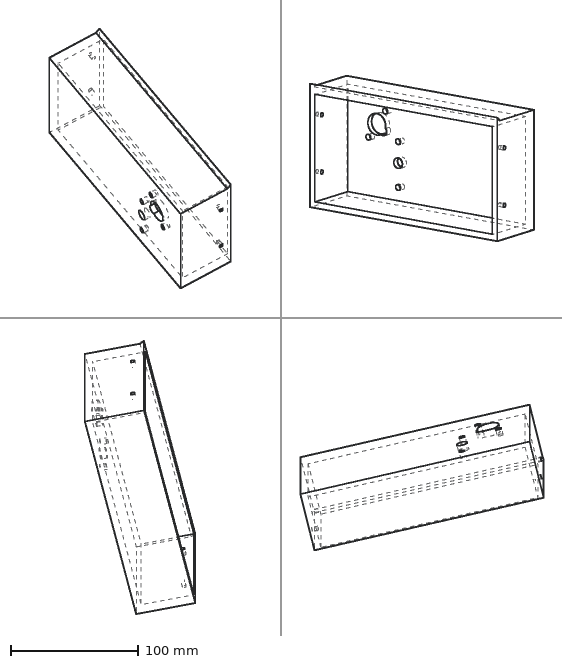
import cadquery as cq

length = 185.0
depth = 47.5
height = 100.0
lip_height = 3.0
lip_depth = 3.3
wall = 5.0
body_height = height - lip_height

small_diameter = 4.6
control_x = 130.5
control_screw_z = (15.7, 52.7)
control_diameter = 8.3
control_z = 35.3
socket_diameter = 17.4
socket_center = (151.5, 63.7)
key_diameter = 7.2
key_center = (145.5, 59.0)
socket_screws = ((143.2, 75.5), (159.9, 52.0))

side_diameter = 3.1
side_from_back = 9.0
side_heights = (27.4, 73.6)


def box_with_lip():
    """Closed block with a triangular lip along its top back edge."""
    return (
        cq.Workplane("YZ")
        .moveTo(0, 0)
        .lineTo(depth, 0)
        .lineTo(depth, height)
        .lineTo(depth - lip_depth, body_height)
        .lineTo(0, body_height)
        .close()
        .extrude(length)
    )


def cavity():
    """Inside space, reaching from the front wall to the open back."""
    return cq.Workplane("XY").box(
        length - 2 * wall, depth - wall, body_height - 2 * wall, centered=False
    ).translate((wall, wall, wall))


def front_holes(points, diameter):
    """Cutters along Y through the front wall."""
    return (
        cq.Workplane("XZ")
        .pushPoints(points)
        .circle(diameter / 2)
        .extrude(-depth)
    )


def side_holes():
    """Cutters along X through both end walls."""
    points = [(depth - side_from_back, z) for z in side_heights]
    return cq.Workplane("YZ").pushPoints(points).circle(side_diameter / 2).extrude(length)


control_screws = [(control_x, z) for z in control_screw_z]

result = box_with_lip().cut(cavity())
result = result.cut(front_holes(control_screws, small_diameter))
result = result.cut(front_holes([(control_x, control_z)], control_diameter))
result = result.cut(front_holes(socket_screws, small_diameter))
result = result.cut(front_holes([socket_center], socket_diameter))
result = result.cut(front_holes([key_center], key_diameter))
result = result.cut(side_holes())